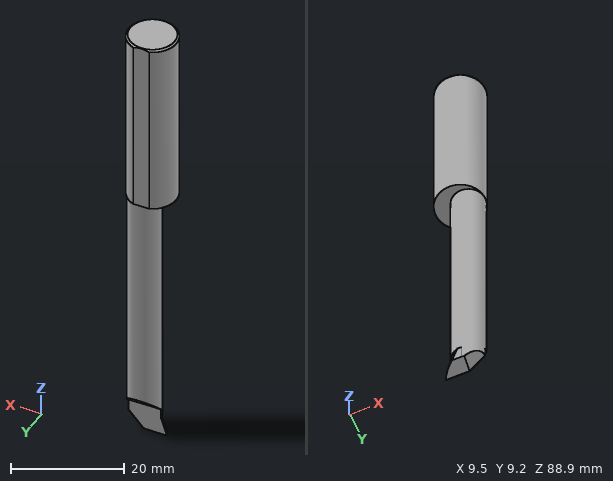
import cadquery as cq
import math

total_length = 88.9
margin = 0.9

shank_diameter = 9.5
shank_radius = shank_diameter / 2
shank_length = 35.4
shank_chamfer = 0.4
flat_depth = 0.3

neck_diameter = 6.4
neck_radius = neck_diameter / 2
neck_x = shank_radius - neck_radius
neck_length = total_length - shank_length

rake_height = 5.5
rake_runout_rise = 3.2

tooth_height = 3.6
tooth_tip_x = -2.85
tooth_root_x = -1.7
tooth_relief_run = 2.5
tooth_flank_bulge = 0.3

end_relief_rise_x = 0.1
end_relief_rise_y = 0.4
bevel_start_x = 1.9
bevel_start_z = 0.2
bevel_end_z = 3.3


def make_shank():
    shank = (
        cq.Workplane("XY", origin=(0, 0, neck_length))
        .circle(shank_radius)
        .extrude(shank_length)
        .faces(">Z")
        .chamfer(shank_chamfer)
    )
    flat_cutter = cq.Workplane("XY").box(
        shank_diameter, shank_radius, total_length, centered=(True, False, False)
    )
    return shank.cut(flat_cutter.translate((0, shank_radius - flat_depth, 0)))


def make_neck():
    """Neck cylinder, without the quarter that the tooth replaces."""
    neck = cq.Workplane("XY").center(neck_x, 0).circle(neck_radius).extrude(neck_length)
    tooth_space = cq.Workplane("XY").box(
        neck_radius, neck_diameter, tooth_height, centered=(False, True, False)
    )
    return neck.cut(tooth_space.translate((neck_x - neck_radius, 0, 0)))


def tooth_section(plane, edge_x):
    """Tooth outline with a bowed flank from the cutting edge to the back."""
    back_x = edge_x + tooth_relief_run
    chord = math.hypot(tooth_relief_run, neck_radius)
    bow_x = (edge_x + back_x) / 2 - tooth_flank_bulge * neck_radius / chord
    bow_y = -neck_radius / 2 - tooth_flank_bulge * tooth_relief_run / chord
    return (
        plane.moveTo(edge_x, 0)
        .threePointArc((bow_x, bow_y), (back_x, -neck_radius))
        .lineTo(neck_x, -neck_radius)
        .lineTo(neck_x, 0)
        .close()
    )


def make_tooth():
    lower = tooth_section(cq.Workplane("XY"), tooth_tip_x)
    upper = tooth_section(lower.workplane(offset=tooth_height), tooth_root_x)
    return upper.loft(ruled=True)


def make_rake_cutter():
    slope = rake_runout_rise / neck_radius
    outer_y = neck_radius + margin
    return (
        cq.Workplane("YZ")
        .polyline([
            (0, -margin),
            (outer_y, -margin),
            (outer_y, rake_height + slope * outer_y),
            (0, rake_height),
        ])
        .close()
        .extrude(shank_diameter, both=True)
    )


def make_end_relief_cutter():
    """Half-space below the end face, which rises from the tip toward +X and -Y."""
    normal = cq.Vector(
        end_relief_rise_x / (bevel_start_x - tooth_tip_x), -end_relief_rise_y / neck_radius, -1
    )
    edge_direction = (0, neck_radius, -end_relief_rise_y)
    end_plane = cq.Plane(origin=(tooth_tip_x, 0, 0), xDir=edge_direction, normal=normal)
    return cq.Workplane(end_plane).rect(2 * shank_diameter, 2 * shank_diameter).extrude(shank_radius)


def make_bevel_cutter():
    slope = (bevel_end_z - bevel_start_z) / (shank_radius - bevel_start_x)
    return (
        cq.Workplane("XZ")
        .polyline([
            (bevel_start_x - margin, bevel_start_z - slope * margin),
            (shank_radius + margin, bevel_end_z + slope * margin),
            (shank_radius + margin, bevel_start_z - slope * margin),
        ])
        .close()
        .extrude(shank_diameter, both=True)
    )


result = (
    make_shank()
    .union(make_neck())
    .union(make_tooth())
    .cut(make_rake_cutter())
    .cut(make_end_relief_cutter())
    .cut(make_bevel_cutter())
)